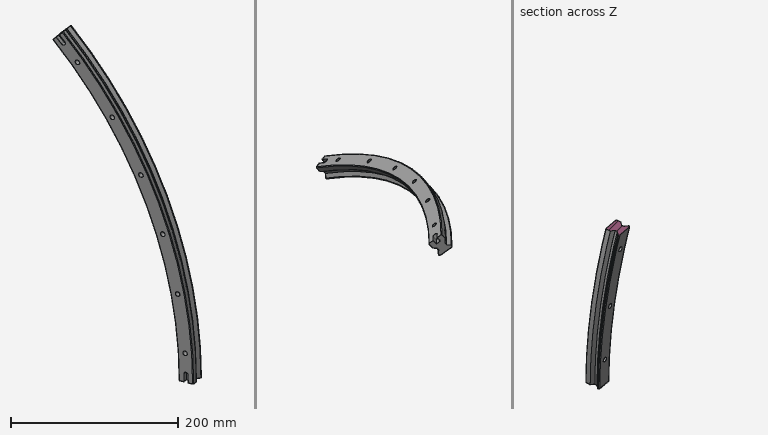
import cadquery as cq

path_radius = 600.0
sweep_angle = 45.0

rail_width = 20.0
rail_height = 21.0
edge_chamfer = 1.0
head_edge_depth = 2.5
waist_inset = 3.9
waist_top_depth = 6.4
waist_bottom_depth = 9.7
base_height = 7.4

hole_count = 6
hole_diameter = 6.0
hole_pitch_angle = sweep_angle / hole_count

slot_width = 6.0
slot_length = 13.5
slot_depth = 6.0

half_width = rail_width / 2
half_height = rail_height / 2


def section_side():
    """Points down one flank of the section, as (offset from centreline, y), from top to base."""
    waist_half_width = half_width - waist_inset
    return [
        (half_width - edge_chamfer, half_height),
        (half_width, half_height - edge_chamfer),
        (half_width, half_height - head_edge_depth),
        (waist_half_width, half_height - waist_top_depth),
        (waist_half_width, half_height - waist_bottom_depth),
        (half_width, base_height - half_height),
        (half_width, edge_chamfer - half_height),
        (half_width - edge_chamfer, -half_height),
    ]


def turn(shape, angle):
    """Move a shape built at the start of the rail along the arc towards +Z."""
    return shape.rotate((0, 0, 0), (0, 1, 0), -angle)


def rail_body():
    outer_side = [(path_radius + offset, y) for offset, y in section_side()]
    inner_side = [(path_radius - offset, y) for offset, y in reversed(section_side())]
    section = cq.Workplane("XY").polyline(outer_side + inner_side).close()
    return section.revolve(sweep_angle, (0, 0, 0), (0, -1, 0))


def mounting_hole(angle):
    hole = (
        cq.Workplane("XZ", origin=(path_radius, half_height, 0))
        .circle(hole_diameter / 2)
        .extrude(rail_height)
    )
    return turn(hole, angle)


def end_slot():
    """Round-ended slot cutter centred on the end plane z = 0, reaching slot_length either way."""
    return (
        cq.Workplane("XZ", origin=(path_radius, slot_depth - half_height, 0))
        .slot2D(2 * slot_length, slot_width, 90)
        .extrude(slot_depth)
    )


result = rail_body()
for index in range(hole_count):
    result = result.cut(mounting_hole((index + 0.5) * hole_pitch_angle))
for end_angle in (0, sweep_angle):
    result = result.cut(turn(end_slot(), end_angle))